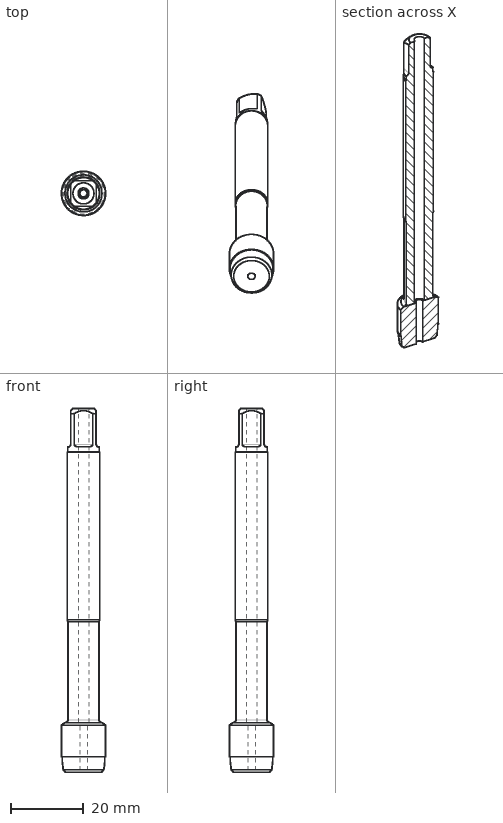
import cadquery as cq
import math

length = 100.0
bottom_z = -length / 2
top_z = length / 2
lead_top_z = bottom_z + 4.3
head_shoulder_z = bottom_z + 13.0
joint_z = bottom_z + 13.7
neck_top_z = bottom_z + 41.4
shank_bottom_z = bottom_z + 42.0
shank_top_z = bottom_z + 87.9
flat_floor_z = bottom_z + 89.4

head_d = 12.2
lead_top_d = 11.8
lead_bottom_d = 11.2
joint_d = 10.2
neck_d = 8.6
shank_d = 9.0
drive_d = 8.7
drive_tip_d = 5.8
shank_bore_d = 3.0
head_bore_d = 2.0

lead_bulge = 0.1
nose_chamfer = 0.7
square_width = 7.0
flat_runout_r = 0.8
shank_chamfer = (shank_d - drive_d) / 2
drive_chamfer = (drive_d - drive_tip_d) / 2


def make_head():
    """Cutting head: a bored cylinder with a bowed lead taper and a conical shoulder."""
    bore_r = head_bore_d / 2
    lead_bottom_r = lead_bottom_d / 2
    lead_bottom_z = bottom_z + nose_chamfer
    lead_middle_r = (lead_top_d + lead_bottom_d) / 4 + lead_bulge
    lead_middle_z = (lead_top_z + lead_bottom_z) / 2
    return (
        cq.Workplane("XZ")
        .moveTo(bore_r, bottom_z)
        .lineTo(lead_bottom_r - nose_chamfer, bottom_z)
        .lineTo(lead_bottom_r, lead_bottom_z)
        .threePointArc((lead_middle_r, lead_middle_z), (lead_top_d / 2, lead_top_z))
        .lineTo(head_d / 2, lead_top_z)
        .lineTo(head_d / 2, head_shoulder_z)
        .lineTo(joint_d / 2, joint_z)
        .lineTo(bore_r, joint_z)
        .close()
        .revolve(360, (0, 0, 0), (0, 1, 0))
    )


def make_flat_cutter():
    """Cutter for the driving flat on +X, with a concave runout at its lower end."""
    flat_x = square_width / 2
    outer_x = shank_d
    runout_center_z = flat_floor_z + flat_runout_r
    arc_offset = flat_runout_r * (1 - math.sqrt(0.5))
    return (
        cq.Workplane("XZ")
        .moveTo(flat_x, runout_center_z)
        .threePointArc(
            (flat_x + arc_offset, flat_floor_z + arc_offset),
            (flat_x + flat_runout_r, flat_floor_z),
        )
        .lineTo(outer_x, flat_floor_z)
        .lineTo(outer_x, top_z)
        .lineTo(flat_x, top_z)
        .close()
        .extrude(shank_d, both=True)
    )


def make_shank():
    """Shank: a bored stepped shaft with a relieved, filleted neck and a square drive end."""
    bore_r = shank_bore_d / 2
    neck_fillet_r = (joint_d - neck_d) / 2
    arc_offset = neck_fillet_r * (1 - math.sqrt(0.5))
    shank = (
        cq.Workplane("XZ")
        .moveTo(bore_r, joint_z)
        .lineTo(joint_d / 2, joint_z)
        .threePointArc(
            (neck_d / 2 + arc_offset, joint_z + arc_offset),
            (neck_d / 2, joint_z + neck_fillet_r),
        )
        .lineTo(neck_d / 2, neck_top_z)
        .lineTo(shank_d / 2, shank_bottom_z)
        .lineTo(shank_d / 2, shank_top_z)
        .lineTo(drive_d / 2, shank_top_z + shank_chamfer)
        .lineTo(drive_d / 2, top_z - drive_chamfer)
        .lineTo(drive_tip_d / 2, top_z)
        .lineTo(bore_r, top_z)
        .close()
        .revolve(360, (0, 0, 0), (0, 1, 0))
    )
    for angle in (0, 90, 180, 270):
        shank = shank.cut(make_flat_cutter().rotate((0, 0, 0), (0, 0, 1), angle))
    return shank


head = make_head()
shank = make_shank()
result = cq.Compound.makeCompound([head.val(), shank.val()])